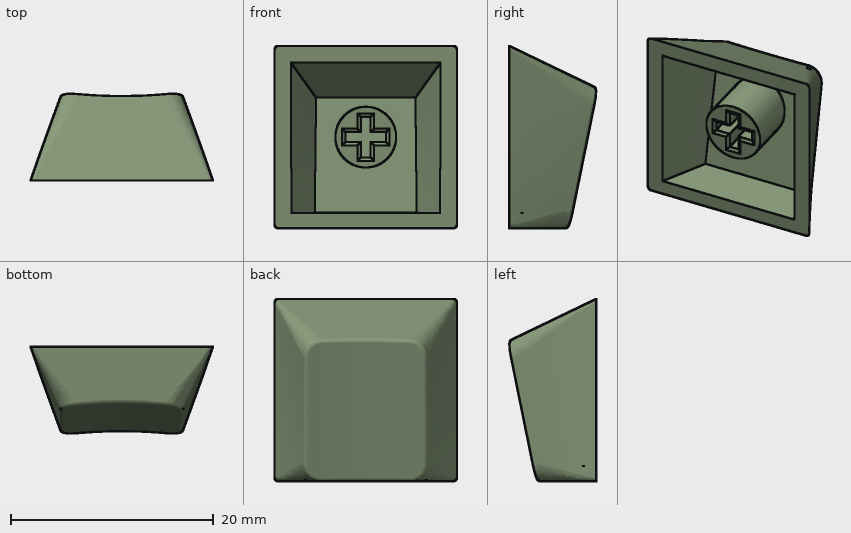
import cadquery as cq
import math


rim_size = 18.0
rim_corner_radius = 0.4
top_half_width = 5.98
top_upper_z = 4.77
top_upper_y = 8.78
top_lower_z = -rim_size / 2
top_lower_y = 5.98
top_corner_radius = 1.71
top_edge_fillet = 0.36
section_count = 7

dish_depth = 0.41
dish_half_span = 6.12

cavity_rim_upper_z = 7.35
cavity_rim_lower_z = -7.49
cavity_rim_upper_half_width = 7.38
cavity_rim_lower_half_width = 7.33
floor_upper_z = 3.89
floor_upper_y = 6.95
floor_lower_z = -7.45
floor_lower_half_width = 5.02
floor_upper_half_width = 4.9

stem_diameter = 6.0
stem_face_y = 1.0
socket_mouth_half_length = 2.34
socket_mouth_half_width = 0.83
socket_chamfer_width = 0.35
socket_chamfer_depth = 0.2

top_slope = (top_upper_y - top_lower_y) / (top_upper_z - top_lower_z)
top_tilt = math.atan(top_slope)


def blend(start, end, fraction):
    return start + (end - start) * fraction


def tilted_plane(z, y, tilt):
    """Plane through (0, y, z): local X is the part's X, local Y climbs along Z and +Y."""
    return cq.Plane((0, y, z), (1, 0, 0), (0, -math.cos(tilt), math.sin(tilt)))


def body_section(fraction):
    """Rounded rectangle between the rim (fraction 0) and the top (fraction 1)."""
    upper_z = blend(rim_size / 2, top_upper_z, fraction)
    lower_z = blend(-rim_size / 2, top_lower_z, fraction)
    upper_y = top_upper_y * fraction
    lower_y = top_lower_y * fraction
    half_width = blend(rim_size / 2, top_half_width, fraction)
    ease = fraction**2 * (3 - 2 * fraction)
    radius = blend(rim_corner_radius, top_corner_radius, ease)
    height = math.hypot(upper_z - lower_z, upper_y - lower_y)
    tilt = math.atan2(upper_y - lower_y, upper_z - lower_z)
    plane = tilted_plane((upper_z + lower_z) / 2, (upper_y + lower_y) / 2, tilt)
    face = cq.Sketch().rect(2 * half_width, height).vertices().fillet(radius)._faces.Faces()[0]
    return face.outerWire().moved(cq.Location(plane))


def make_body():
    wires = [body_section(i / (section_count - 1)) for i in range(section_count)]
    return cq.Workplane(cq.Solid.makeLoft(wires))


def make_dish():
    """Cylinder running along the tilted top, sunk by the dish depth at mid width."""
    radius = (dish_half_span**2 + dish_depth**2) / (2 * dish_depth)
    mid_z = (top_upper_z + top_lower_z) / 2
    mid_y = (top_upper_y + top_lower_y) / 2
    along = cq.Vector(0, math.sin(top_tilt), math.cos(top_tilt))
    outward = cq.Vector(0, math.cos(top_tilt), -math.sin(top_tilt))
    length = 2 * rim_size
    start = cq.Vector(0, mid_y, mid_z) + outward * (radius - dish_depth) - along * (length / 2)
    return cq.Workplane(cq.Solid.makeCylinder(radius, length, start, along))


def trapezoid(upper_half, upper_y, upper_z, lower_half, lower_y, lower_z):
    return cq.Wire.makePolygon(
        [
            cq.Vector(-lower_half, lower_y, lower_z),
            cq.Vector(lower_half, lower_y, lower_z),
            cq.Vector(upper_half, upper_y, upper_z),
            cq.Vector(-upper_half, upper_y, upper_z),
        ],
        close=True,
    )


def make_cavity():
    """Tapered hollow whose floor is parallel to the tilted top."""
    floor_lower_y = floor_upper_y - top_slope * (floor_upper_z - floor_lower_z)
    rim = trapezoid(
        cavity_rim_upper_half_width, 0, cavity_rim_upper_z,
        cavity_rim_lower_half_width, 0, cavity_rim_lower_z,
    )
    floor = trapezoid(
        floor_upper_half_width, floor_upper_y, floor_upper_z,
        floor_lower_half_width, floor_lower_y, floor_lower_z,
    )
    return cq.Workplane(cq.Solid.makeLoft([rim, floor], True))


def make_stem():
    plane = cq.Plane((0, stem_face_y, 0), (1, 0, 0), (0, 1, 0))
    return cq.Workplane(plane).circle(stem_diameter / 2).extrude(floor_upper_y - stem_face_y)


def cross_wire(half_length, half_width, y):
    """Cross outline made of one arm, repeated at quarter turns about the Y axis."""
    arm = [(half_length, -half_width), (half_length, half_width), (half_width, half_width)]
    points = []
    for turn in range(4):
        angle = math.radians(90 * turn)
        for x, z in arm:
            turned_x = x * math.cos(angle) - z * math.sin(angle)
            turned_z = x * math.sin(angle) + z * math.cos(angle)
            points.append(cq.Vector(turned_x, y, turned_z))
    return cq.Wire.makePolygon(points, close=True)


def make_socket():
    """Straight cross socket with a chamfered mouth."""
    inner_half_length = socket_mouth_half_length - socket_chamfer_width
    inner_half_width = socket_mouth_half_width - socket_chamfer_width
    straight_start_y = stem_face_y + socket_chamfer_depth
    mouth = cross_wire(socket_mouth_half_length, socket_mouth_half_width, stem_face_y)
    throat = cross_wire(inner_half_length, inner_half_width, straight_start_y)
    bottom = cross_wire(inner_half_length, inner_half_width, floor_upper_y)
    chamfer = cq.Solid.makeLoft([mouth, throat], True)
    straight = cq.Solid.makeLoft([throat, bottom], True)
    return cq.Workplane(chamfer).union(cq.Workplane(straight))


outside = make_body().cut(make_dish())
outside = outside.faces(">Y").edges().fillet(top_edge_fillet)

cavity = make_cavity()
stem = make_stem().cut(make_socket()).intersect(cavity)
result = outside.cut(cavity).union(stem)